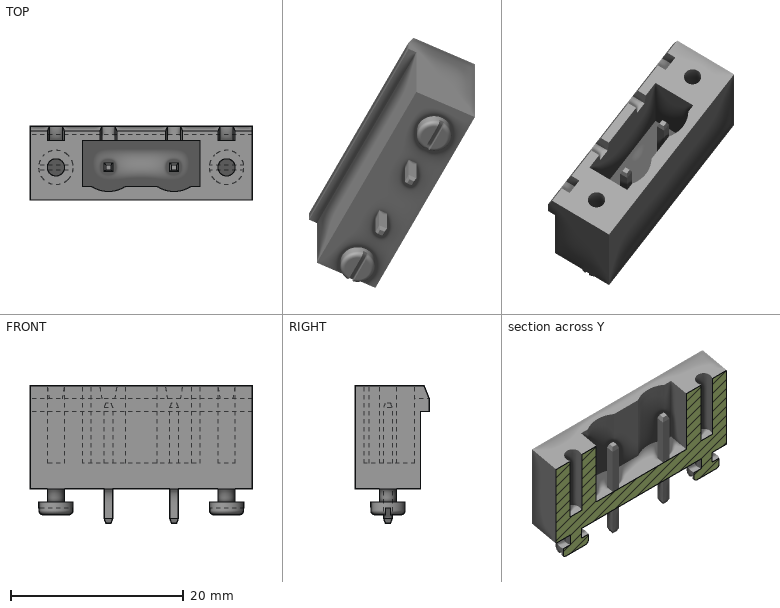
import cadquery as cq


pin_pitch = 7.62
screw_to_pin = 6.1
screw_to_end = 3.0
screw_x = pin_pitch / 2 + screw_to_pin
housing_length = 2 * (screw_x + screw_to_end)
housing_height = 12.0
front_y = -3.8
body_depth = 7.6
body_back_y = front_y + body_depth
ledge_overhang = 1.0
ledge_height = 3.0
ledge_back_y = body_back_y + ledge_overhang
bevel_depth = 0.6
bevel_height = 1.5

pocket_end_margin = 3.0
pocket_length = pin_pitch + 2 * pocket_end_margin
pocket_front_y = -2.2
pocket_back_y = 3.1
pocket_depth = 9.0
bulge_width = 4.0
bulge_reach = 0.6

notch_top_width = 2.0
notch_floor_width = 1.5
notch_depth = 1.5

pin_width = 1.0
pin_tip_width = 0.6
pin_tip_length = 0.55
pin_below_housing = 4.0
pin_top_below_rim = 2.0

hole_diameter = 2.0
hole_depth = 9.0
stem_diameter = 2.0
stem_length = 1.5
head_diameter = 4.0
head_height = 1.5
head_fillet = 0.5
slot_width = 0.6
slot_depth = 0.8

pin_positions = [-pin_pitch / 2, pin_pitch / 2]
screw_positions = [-screw_x, screw_x]


def make_housing():
    """Side profile with the bevelled rear ledge, extruded along X."""
    profile = [
        (front_y, 0),
        (body_back_y, 0),
        (body_back_y, housing_height - ledge_height),
        (ledge_back_y, housing_height - ledge_height),
        (ledge_back_y, housing_height - bevel_height),
        (ledge_back_y - bevel_depth, housing_height),
        (front_y, housing_height),
    ]
    return cq.Workplane("YZ").polyline(profile).close().extrude(housing_length / 2, both=True)


def make_pocket():
    """Cutter for the plug pocket, open at the top."""
    half_length = pocket_length / 2
    half_bulge = bulge_width / 2
    outline = cq.Workplane("XY", origin=(0, 0, housing_height))
    outline = outline.moveTo(-half_length, pocket_back_y).lineTo(-half_length, pocket_front_y)
    for x in pin_positions:
        outline = outline.lineTo(x - half_bulge, pocket_front_y)
        outline = outline.threePointArc(
            (x, pocket_front_y - bulge_reach), (x + half_bulge, pocket_front_y)
        )
    outline = outline.lineTo(half_length, pocket_front_y).lineTo(half_length, pocket_back_y)
    return outline.close().extrude(-pocket_depth)


def make_notch(x):
    """Cutter for a notch narrowing downwards, from the ledge back to the pocket line."""
    floor_z = housing_height - notch_depth
    profile = [
        (x - notch_top_width / 2, housing_height),
        (x - notch_floor_width / 2, floor_z),
        (x + notch_floor_width / 2, floor_z),
        (x + notch_top_width / 2, housing_height),
    ]
    notch_plane = cq.Workplane("XZ", origin=(0, ledge_back_y, 0))
    return notch_plane.polyline(profile).close().extrude(ledge_back_y - pocket_back_y)


def make_flange_hole(x):
    """Cutter for the blind hole above a mounting screw."""
    hole_plane = cq.Workplane("XY", origin=(x, 0, housing_height))
    return hole_plane.circle(hole_diameter / 2).extrude(-hole_depth)


def make_pin_tip(x, base_z, direction):
    """Tapered pin end; direction is 1 for upwards and -1 for downwards."""
    base = cq.Workplane("XY", origin=(x, 0, base_z)).rect(pin_width, pin_width)
    end = base.workplane(offset=direction * pin_tip_length).rect(pin_tip_width, pin_tip_width)
    return end.loft(ruled=True)


def make_pin(x):
    """Square pin from the solder side up into the pocket, tapered at both ends."""
    shank_bottom = pin_tip_length - pin_below_housing
    shank_top = housing_height - pin_top_below_rim - pin_tip_length
    shank_plane = cq.Workplane("XY", origin=(x, 0, shank_bottom))
    shank = shank_plane.rect(pin_width, pin_width).extrude(shank_top - shank_bottom)
    return shank.union(make_pin_tip(x, shank_top, 1)).union(make_pin_tip(x, shank_bottom, -1))


def make_screw(x):
    """Screw stem and rounded head below the housing, slotted along X."""
    stem = cq.Workplane("XY", origin=(x, 0, 0)).circle(stem_diameter / 2).extrude(-stem_length)
    head_plane = cq.Workplane("XY", origin=(x, 0, -stem_length))
    head = head_plane.circle(head_diameter / 2).extrude(-head_height)
    head = head.faces("<Z").edges().fillet(head_fillet)
    slot_plane = cq.Workplane("XY", origin=(x, 0, -stem_length - head_height))
    slot = slot_plane.rect(head_diameter, slot_width).extrude(slot_depth)
    return stem.union(head.cut(slot))


result = make_housing().cut(make_pocket())
for pin_x in pin_positions:
    result = result.cut(make_notch(pin_x))
    result = result.union(make_pin(pin_x))
for flange_x in screw_positions:
    result = result.cut(make_notch(flange_x))
    result = result.cut(make_flange_hole(flange_x))
    result = result.union(make_screw(flange_x))